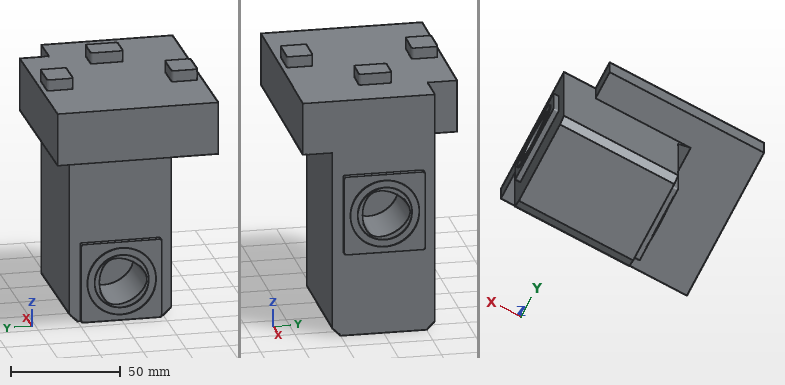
import cadquery as cq
import math

height = 119.0
head_length = 95.9
head_width = 75.0
head_thickness = 24.9
key_height = 5.2
head_top = height - key_height
head_bottom = head_top - head_thickness
notch_length = 16.3

body_start = 37.0
body_width = 47.6
body_chamfer = 3.8
gusset_reach = 6.4
notch_width = (head_width - body_width) / 2

key_long = 15.0
key_short = 12.0
side_key_x = 40.0
side_key_y = 29.0
end_key_x = 70.9
corner_radius = 1.01

pad_size = 37.6
pad_thickness = 2.6
ring_outer_diameter = 32.0
ring_inner_diameter = 25.2
ring_height = 0.5
front_pad_z = 18.9
rear_pad_z = 58.8
socket_radius = 11.1
lobe_height = 0.7
socket_depth = 26.2
socket_taper = 1 / 40
socket_points = 36


def make_head():
    head = cq.Workplane("XY").box(head_length, head_width, head_thickness, centered=(False, True, False))
    notch = (
        cq.Workplane("XY")
        .box(notch_length, notch_width, head_thickness, centered=False)
        .translate((head_length - notch_length, body_width / 2, 0))
    )
    return head.cut(notch).translate((0, 0, head_bottom))


def make_body():
    body = (
        cq.Workplane("XY")
        .box(head_length - body_start, body_width, head_bottom, centered=(False, True, False))
        .faces("<Z")
        .edges("|X")
        .chamfer(body_chamfer)
        .translate((body_start, 0, 0))
    )
    gusset = (
        cq.Workplane("XZ")
        .moveTo(body_start, head_bottom)
        .lineTo(body_start - gusset_reach, head_bottom)
        .lineTo(body_start, head_bottom - gusset_reach)
        .close()
        .extrude(body_width / 2, both=True)
    )
    return body.union(gusset)


def make_key(x, y, length, width):
    return (
        cq.Workplane("XY")
        .box(length, width, key_height, centered=(True, True, False))
        .edges("|Z")
        .fillet(corner_radius)
        .translate((x, y, head_top))
    )


def lobed_outline(radius):
    """Three-lobed curve of constant width, with one lobe on the -Y side."""
    points = []
    for i in range(socket_points):
        angle = 2 * math.pi * i / socket_points
        reach = radius + lobe_height * math.cos(3 * angle)
        slope = -3 * lobe_height * math.sin(3 * angle)
        lobe_axis = reach * math.cos(angle) - slope * math.sin(angle)
        across = reach * math.sin(angle) + slope * math.cos(angle)
        points.append((-lobe_axis, across))
    return points


def make_pad():
    """Pad with its back face at X = 0, facing -X."""
    pad = (
        cq.Workplane("YZ")
        .rect(pad_size, pad_size)
        .extrude(-pad_thickness)
        .edges("|X")
        .fillet(corner_radius)
    )
    ring = (
        cq.Workplane("YZ", origin=(-pad_thickness, 0, 0))
        .circle(ring_outer_diameter / 2)
        .circle(ring_inner_diameter / 2)
        .extrude(-ring_height)
    )
    return pad.union(ring)


def make_socket():
    """Tapered socket running in +X from the face of the pad."""
    end_radius = socket_radius - socket_depth * socket_taper
    return (
        cq.Workplane("YZ", origin=(-pad_thickness, 0, 0))
        .spline(lobed_outline(socket_radius), periodic=True)
        .close()
        .workplane(offset=socket_depth)
        .spline(lobed_outline(end_radius), periodic=True)
        .close()
        .loft(ruled=True)
    )


def on_front(shape):
    return shape.translate((body_start, 0, front_pad_z))


def on_rear(shape):
    return shape.rotate((0, 0, 0), (0, 0, 1), 180).translate((head_length, 0, rear_pad_z))


result = make_head().union(make_body())
for side in (-1, 1):
    result = result.union(make_key(side_key_x, side * side_key_y, key_long, key_short))
result = result.union(make_key(end_key_x, 0, key_short, key_long))
for place in (on_front, on_rear):
    result = result.union(place(make_pad())).cut(place(make_socket()))